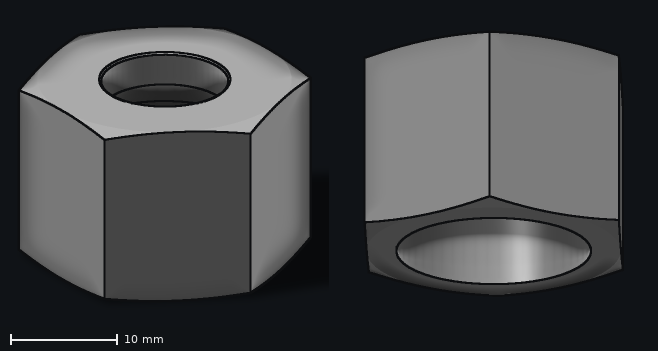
import cadquery as cq
import math

across_corners = 27.7
across_flats = across_corners * math.cos(math.radians(30))
height = 17.5
corner_bevel_angle = 15.0

tube_radius = 12.0 / 2
thread_radius = 18.37 / 2
tube_chamfer = 0.2
shoulder_depth = 3.27


def revolve_profile(points):
    """Revolve a closed (radius, height) outline about the Z axis."""
    return cq.Workplane("XZ").polyline(points).close().revolve(360, (0, 0), (0, 1))


def hexagon_body():
    """Hexagonal prism with its corners bevelled conically at both ends."""
    prism = (
        cq.Workplane("XY")
        .polygon(6, across_corners)
        .extrude(height)
        .rotate((0, 0, 0), (0, 0, 1), 30)
    )
    face_radius = across_flats / 2
    outer_radius = across_corners
    drop = (outer_radius - face_radius) * math.tan(math.radians(corner_bevel_angle))
    envelope = revolve_profile([
        (0, 0),
        (face_radius, 0),
        (outer_radius, drop),
        (outer_radius, height - drop),
        (face_radius, height),
        (0, height),
    ])
    return prism.intersect(envelope)


def stepped_bore():
    """Through bore with a chamfered top edge and a 45 degree internal cone."""
    cone_top = height - shoulder_depth
    cone_bottom = cone_top - (thread_radius - tube_radius)
    return revolve_profile([
        (0, 0),
        (thread_radius, 0),
        (thread_radius, cone_bottom),
        (tube_radius, cone_top),
        (tube_radius, height - tube_chamfer),
        (tube_radius + tube_chamfer, height),
        (0, height),
    ])


result = hexagon_body().cut(stepped_bore())